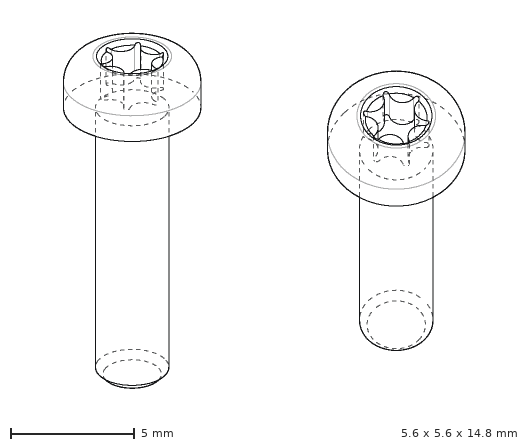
import cadquery as cq
import math

length = 14.8
head_radius = 2.8
head_height = 2.4
dome_radius = head_height / 2
shank_radius = 1.5
tip_chamfer = 0.31

lobe_count = 6
countersink_radius = 1.45
countersink_depth = 0.19
recess_depth = 1.75
lobe_reach = 1.35
scallop_radius = 0.56
scallop_offset = 1.38


def polar(radius, angle):
    return (radius * math.cos(angle), radius * math.sin(angle))


def screw_body():
    """Revolve the half profile of the domed head and the chamfered shank."""
    head_base = length - head_height
    shoulder = length - dome_radius
    arc_share = dome_radius * math.sqrt(0.5)
    dome_middle = (head_radius - dome_radius + arc_share, shoulder + arc_share)
    profile = (
        cq.Workplane("XZ")
        .lineTo(shank_radius - tip_chamfer, 0)
        .lineTo(shank_radius, tip_chamfer)
        .lineTo(shank_radius, head_base)
        .lineTo(head_radius, head_base)
        .lineTo(head_radius, shoulder)
        .threePointArc(dome_middle, (head_radius - dome_radius, length))
        .lineTo(0, length)
        .close()
    )
    return profile.revolve(360, (0, 0, 0), (0, 1, 0))


def countersink():
    """45-degree conical entry with a flat floor."""
    return cq.Workplane("XY").workplane(offset=length).circle(countersink_radius).extrude(
        -countersink_depth, taper=45
    )


def lobed_socket():
    """Six rounded lobes joined tangentially by convex flank arcs."""
    pitch = 2 * math.pi / lobe_count
    across = scallop_offset * math.sin(pitch / 2)
    along = scallop_offset * math.cos(pitch / 2)
    reach_gap = lobe_reach - along
    lobe_radius = (across**2 + reach_gap**2 - scallop_radius**2) / (2 * (scallop_radius + reach_gap))
    lobe_centre = lobe_reach - lobe_radius
    share = lobe_radius / (lobe_radius + scallop_radius)
    tangent_along = lobe_centre + share * (along - lobe_centre)
    tangent_across = share * across
    tangent_radius = math.hypot(tangent_along, tangent_across)
    half_angle = math.atan2(tangent_across, tangent_along)

    first_lobe = math.pi / 2
    outline = cq.Workplane("XY").workplane(offset=length)
    outline = outline.moveTo(*polar(tangent_radius, first_lobe - half_angle))
    for index in range(lobe_count):
        angle = first_lobe + index * pitch
        outline = outline.threePointArc(
            polar(lobe_reach, angle),
            polar(tangent_radius, angle + half_angle),
        ).threePointArc(
            polar(scallop_offset - scallop_radius, angle + pitch / 2),
            polar(tangent_radius, angle + pitch - half_angle),
        )
    return outline.close().extrude(-recess_depth)


result = screw_body().cut(countersink()).cut(lobed_socket())